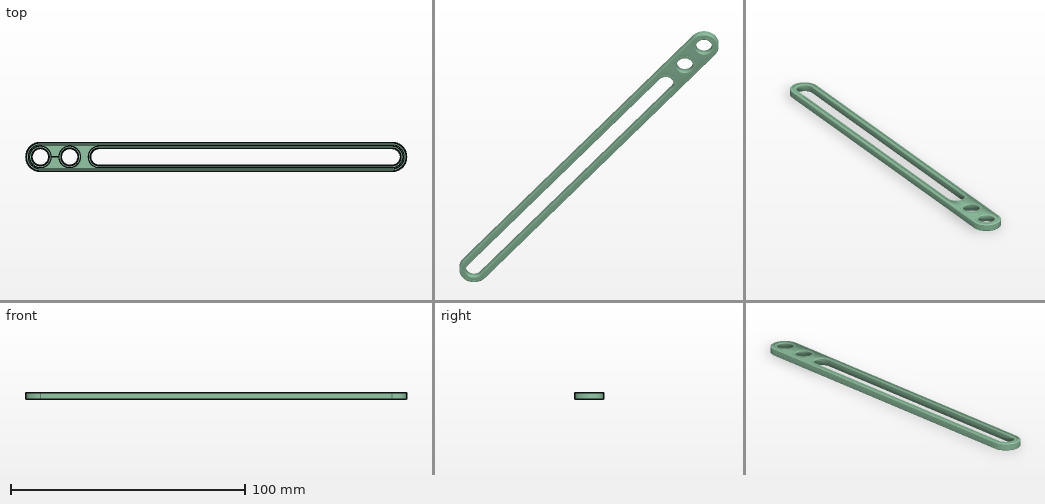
import cadquery as cq

pitch = 12.5
pitch_count = 13
thickness = pitch / 4
hole_diameter = 7.0
ring_diameter = 9.2
recess_depth = 0.2
edge_chamfer = 0.3
chamfer_angle = 45
groove_width = 0.2
groove_depth = 0.1

width = pitch
length = pitch * pitch_count
rim_width = (ring_diameter - hole_diameter) / 2
web_thickness = thickness - 2 * recess_depth
end_x = (length - width) / 2

first_hole_x = -end_x
second_hole_x = first_hole_x + pitch
slot_start_x = second_hole_x + pitch
openings = [
    (first_hole_x, first_hole_x),
    (second_hole_x, second_hole_x),
    (slot_start_x, end_x),
]


def rounded_outline(start_x, stop_x, outline_width, level=0):
    """Round-ended outline at height level, or a circle if both end centres coincide."""
    sketch = cq.Workplane("XY", origin=((start_x + stop_x) / 2, 0, level))
    if start_x == stop_x:
        return sketch.circle(outline_width / 2)
    return sketch.slot2D(stop_x - start_x + outline_width, outline_width)


def rounded_bar(start_x, stop_x, bar_width, height):
    """Round-ended bar or disc centred on Z = 0."""
    return rounded_outline(start_x, stop_x, bar_width).extrude(height / 2, both=True)


def outer_rim():
    """Raised border along the outline, with chamfered outer edges."""
    outline = rounded_bar(-end_x, end_x, width, thickness)
    inside = rounded_bar(-end_x, end_x, width - 2 * rim_width, thickness)
    return outline.faces("|Z").edges().chamfer(edge_chamfer).cut(inside)


def web():
    """Thin plate recessed below the raised rims on both faces."""
    return rounded_bar(-end_x, end_x, width - rim_width, web_thickness)


def opening_cutter(start_x, stop_x):
    """Through cutter whose two mouths flare out to chamfer the rims of the opening."""
    cutter = rounded_bar(start_x, stop_x, hole_diameter, thickness)
    mouth_width = hole_diameter + 2 * edge_chamfer
    mouth_outline = rounded_outline(start_x, stop_x, mouth_width, -thickness / 2)
    mouth = mouth_outline.extrude(edge_chamfer, taper=chamfer_angle)
    return cutter.union(mouth).union(mouth.mirror("XY"))


def groove_cutter():
    """Fine centre-line grooves in both web faces, from one hole ring to the next."""
    groove_length = pitch - ring_diameter
    groove_x = (first_hole_x + second_hole_x) / 2
    groove_z = (web_thickness - groove_depth) / 2
    groove = cq.Workplane("XY", origin=(groove_x, 0, groove_z)).box(groove_length, groove_width, groove_depth)
    return groove.union(groove.mirror("XY"))


body = outer_rim().union(web())
for start_x, stop_x in openings:
    body = body.union(rounded_bar(start_x, stop_x, ring_diameter, thickness))
for start_x, stop_x in openings:
    body = body.cut(opening_cutter(start_x, stop_x))

result = body.cut(groove_cutter())